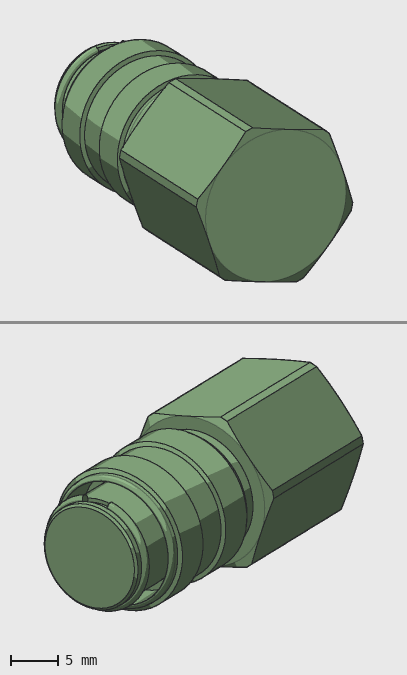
import cadquery as cq
import math


nose_end = 0.0
ring_groove_start = 0.95
ring_groove_end = 2.0
sleeve_start = 4.5
front_grip_start = 5.55
front_grip_end = 9.7
rear_grip_start = 13.75
rear_grip_end = 18.0
sleeve_end = 19.0
nut_start = 20.6
nut_end = 38.15

nose_diameter = 12.0
nose_face_diameter = 11.45
nose_chamfer_length = 0.25
groove_diameter = 11.15

wire_diameter = 1.0
ring_gap_angle = 30.0

sleeve_diameter = 15.1
grip_diameter = 16.15
grip_taper_length = 0.135
recess_diameter = 14.0
recess_depth = 4.58
neck_diameter = recess_diameter
sleeve_edge_radius = 0.5

nut_across_flats = 17.0
nut_corner_diameter = 19.15
nut_tilt = -11.3
nut_chamfer_angle = 15.0


def cylinder(diameter, start, end):
    """Solid cylinder on the X axis between two stations."""
    return cq.Workplane("YZ").workplane(offset=start).circle(diameter / 2).extrude(end - start)


def make_nose():
    """Round nose with a chamfered tip and a groove for the snap ring."""
    face_radius = nose_face_diameter / 2
    nose_radius = nose_diameter / 2
    groove_radius = groove_diameter / 2
    return (
        cq.Workplane("XY")
        .moveTo(nose_end, 0)
        .lineTo(nose_end, face_radius)
        .lineTo(nose_end + nose_chamfer_length, nose_radius)
        .lineTo(ring_groove_start, nose_radius)
        .lineTo(ring_groove_start, groove_radius)
        .lineTo(ring_groove_end, groove_radius)
        .lineTo(ring_groove_end, nose_radius)
        .lineTo(nut_start, nose_radius)
        .lineTo(nut_start, 0)
        .close()
        .revolve(360, (0, 0, 0), (1, 0, 0))
    )


def make_grip(start, end):
    """Raised grip band whose end faces taper from the sleeve surface up to the rim."""
    sleeve_radius = sleeve_diameter / 2
    grip_radius = grip_diameter / 2
    return (
        cq.Workplane("XY")
        .moveTo(start, 0)
        .lineTo(start, sleeve_radius)
        .lineTo(start + grip_taper_length, grip_radius)
        .lineTo(end - grip_taper_length, grip_radius)
        .lineTo(end, sleeve_radius)
        .lineTo(end, 0)
        .close()
        .revolve(360, (0, 0, 0), (1, 0, 0))
    )


def make_sleeve():
    """Sleeve with rounded ends, two grip bands and a front recess around the nose."""
    sleeve = cylinder(sleeve_diameter, sleeve_start, sleeve_end).edges().fillet(sleeve_edge_radius)
    sleeve = sleeve.union(make_grip(front_grip_start, front_grip_end))
    sleeve = sleeve.union(make_grip(rear_grip_start, rear_grip_end))
    return sleeve.cut(cylinder(recess_diameter, sleeve_start, sleeve_start + recess_depth))


def make_nut():
    """Tilted hexagon whose corners are turned down and whose ends are chamfered."""
    flat_radius = nut_across_flats / 2
    corner_radius = nut_corner_diameter / 2
    chamfer_length = (corner_radius - flat_radius) * math.tan(math.radians(nut_chamfer_angle))
    across_corners = nut_across_flats / math.cos(math.radians(30))
    hexagon = (
        cq.Workplane("YZ")
        .workplane(offset=nut_start)
        .polygon(6, across_corners)
        .extrude(nut_end - nut_start)
        .rotate((0, 0, 0), (1, 0, 0), nut_tilt)
    )
    turned_blank = (
        cq.Workplane("XY")
        .moveTo(nut_start, 0)
        .lineTo(nut_start, flat_radius)
        .lineTo(nut_start + chamfer_length, corner_radius)
        .lineTo(nut_end - chamfer_length, corner_radius)
        .lineTo(nut_end, flat_radius)
        .lineTo(nut_end, 0)
        .close()
        .revolve(360, (0, 0, 0), (1, 0, 0))
    )
    return hexagon.intersect(turned_blank)


def make_housing():
    """Nose, sleeve, neck and nut as one solid."""
    neck = cylinder(neck_diameter, sleeve_end, nut_start)
    return make_nose().union(make_sleeve()).union(neck).union(make_nut())


def make_snap_ring():
    """Round-wire ring resting on the groove floor, with its gap centred on +Z."""
    wire_center_x = ring_groove_start + wire_diameter / 2
    wire_center_radius = (groove_diameter + wire_diameter) / 2
    return (
        cq.Workplane("XZ")
        .center(wire_center_x, wire_center_radius)
        .circle(wire_diameter / 2)
        .revolve(360 - ring_gap_angle, (0, -wire_center_radius, 0), (1, -wire_center_radius, 0))
        .rotate((0, 0, 0), (1, 0, 0), ring_gap_angle / 2)
    )


housing = make_housing()
snap_ring = make_snap_ring()

result = cq.Compound.makeCompound([housing.val(), snap_ring.val()])